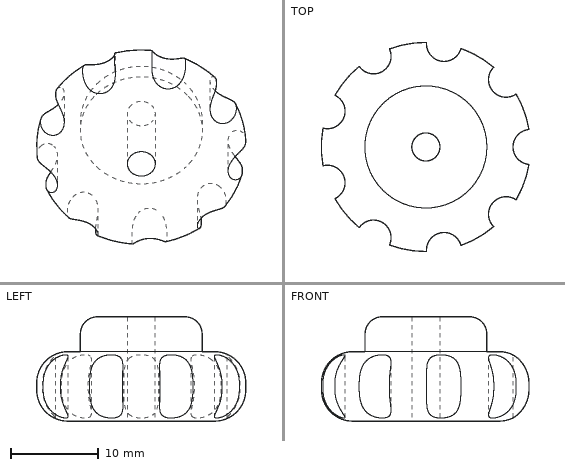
import cadquery as cq
import math

wheel_diameter = 24.0
wheel_height = 8.0
rim_band_height = 0.8
rim_fillet = (wheel_height - rim_band_height) / 2

boss_diameter = 14.0
boss_height = 4.0
boss_fillet = 2.0

bore_diameter = 3.2
total_height = wheel_height + boss_height

scallop_count = 9
scallop_diameter = 4.0
scallop_circle_radius = wheel_diameter / 2


def make_wheel():
    """Disc with both rim edges rounded, leaving a narrow straight band."""
    disc = cq.Workplane("XY").circle(wheel_diameter / 2).extrude(wheel_height)
    return disc.edges().fillet(rim_fillet)


def make_boss():
    """Cylindrical boss with a rounded top edge."""
    boss = cq.Workplane("XY").workplane(offset=wheel_height).circle(boss_diameter / 2).extrude(boss_height)
    return boss.faces(">Z").edges().fillet(boss_fillet)


def make_scallops():
    """Ring of vertical cylinders that cut the finger grips."""
    centres = []
    for index in range(scallop_count):
        angle = 2 * math.pi * index / scallop_count
        x = scallop_circle_radius * math.cos(angle)
        y = scallop_circle_radius * math.sin(angle)
        centres.append((x, y))
    return cq.Workplane("XY").pushPoints(centres).circle(scallop_diameter / 2).extrude(wheel_height)


def make_bore():
    """Central hole through the whole height."""
    return cq.Workplane("XY").circle(bore_diameter / 2).extrude(total_height)


result = make_wheel().union(make_boss()).cut(make_scallops()).cut(make_bore())